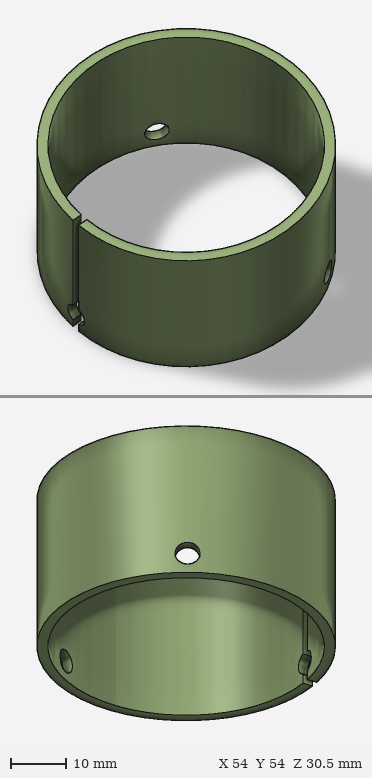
import cadquery as cq

outer_diameter = 54.0
inner_diameter = 50.0
height = 30.5

split_width = 1.5

hole_diameter = 4.5
hole_height = 4.0
hole_count = 3
split_angle = 270.0

outer_radius = outer_diameter / 2


def radial_hole(angle):
    """Cylinder running from the ring axis out through the wall at the given angle."""
    return (
        cq.Workplane("YZ")
        .center(0, hole_height)
        .circle(hole_diameter / 2)
        .extrude(outer_diameter)
        .rotate((0, 0, 0), (0, 0, 1), angle)
    )


ring = cq.Workplane("XY").circle(outer_radius).circle(inner_diameter / 2).extrude(height)

split = cq.Workplane("XY").box(split_width, outer_diameter, height, centered=(True, False, False))
split = split.translate((0, -outer_diameter, 0))

result = ring.cut(split)
for index in range(hole_count):
    result = result.cut(radial_hole(split_angle + index * 360.0 / hole_count))